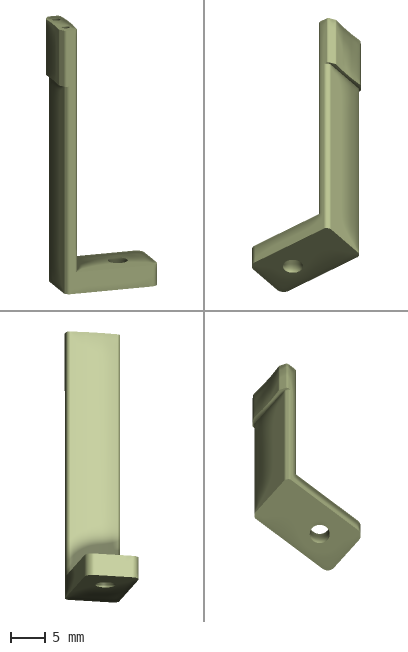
import cadquery as cq
import math

width = 8.15
depth = 15.2
height = 40.25
half_width = width / 2

foot_height = 3.25
foot_corner_radius = 1.2
foot_hole_diameter = 2.95
foot_hole_y = 10.15

head_height = 8.55
upright_height = height - head_height
upright_front_y = 0.65
back_crown_y = 2.78
back_edge_y = 2.5
back_corner_radius = 0.52

pin_diameter = 1.2
pin_spacing = 4.25
pin_y = 1.33
pin_depth = 4.85
drill_point_angle = 118.0

upright_corner = [(half_width, 1.33), (3.9, 0.95), (3.65, 0.75), (3.3, upright_front_y)]
head_corner = [(half_width, 0.85), (3.85, 0.52), (3.05, 0.05), (2.7, 0.0)]
head_hollow_depth = 0.12
blend_bulge = 0.1


def mirrored(points):
    return [(-x, y) for x, y in reversed(points)]


def blend(profile, start, end):
    """Add a shallow arc bulging outwards."""
    chord_x = end[0] - start[0]
    chord_y = end[1] - start[1]
    middle = (
        (start[0] + end[0]) / 2 - blend_bulge * chord_y,
        (start[1] + end[1]) / 2 + blend_bulge * chord_x,
    )
    return profile.threePointArc(middle, end)


def add_corner(profile, points):
    """Continue the outline from points[0] through blend, facet and blend."""
    profile = blend(profile, points[0], points[1])
    profile = profile.lineTo(*points[2])
    return blend(profile, points[2], points[3])


def front_section(corner, hollow_depth=0.0):
    """Outline with blended front corners, running back to the full depth."""
    left_corner = mirrored(corner)
    profile = cq.Workplane("XY").moveTo(half_width, depth).lineTo(*corner[0])
    profile = add_corner(profile, corner)
    if hollow_depth:
        profile = profile.threePointArc((0, corner[-1][1] + hollow_depth), left_corner[0])
    else:
        profile = profile.lineTo(*left_corner[0])
    profile = add_corner(profile, left_corner)
    return profile.lineTo(-half_width, depth).close()


def back_section():
    """Region in front of the crowned, round-cornered back of the upright."""
    return (
        cq.Workplane("XY")
        .moveTo(-half_width, 0)
        .lineTo(-half_width, back_edge_y)
        .threePointArc((0, back_crown_y), (half_width, back_edge_y))
        .lineTo(half_width, 0)
        .close()
    )


def make_foot():
    foot = front_section(upright_corner).extrude(foot_height)
    foot = foot.edges("|Z").edges(">Y").fillet(foot_corner_radius)
    hole = cq.Workplane("XY").center(0, foot_hole_y).circle(foot_hole_diameter / 2).extrude(foot_height)
    return foot.cut(hole)


def make_column():
    upright = front_section(upright_corner).extrude(upright_height)
    head = front_section(head_corner, head_hollow_depth).extrude(head_height)
    column = upright.union(head.translate((0, 0, upright_height)))
    back = back_section().extrude(height).edges("|Z").edges(">Y").fillet(back_corner_radius)
    return column.intersect(back)


def make_pin_hole(x):
    """Blind drilled hole with a conical bottom, opening at the top."""
    radius = pin_diameter / 2
    tip = radius / math.tan(math.radians(drill_point_angle / 2))
    floor = height - pin_depth
    half_section = [(0, height), (radius, height), (radius, floor), (0, floor - tip)]
    drill = cq.Workplane("XZ").polyline(half_section).close().revolve(360, (0, 0), (0, 1))
    return drill.translate((x, pin_y, 0))


result = make_foot().union(make_column())
for side in (-1, 1):
    result = result.cut(make_pin_hole(side * pin_spacing / 2))